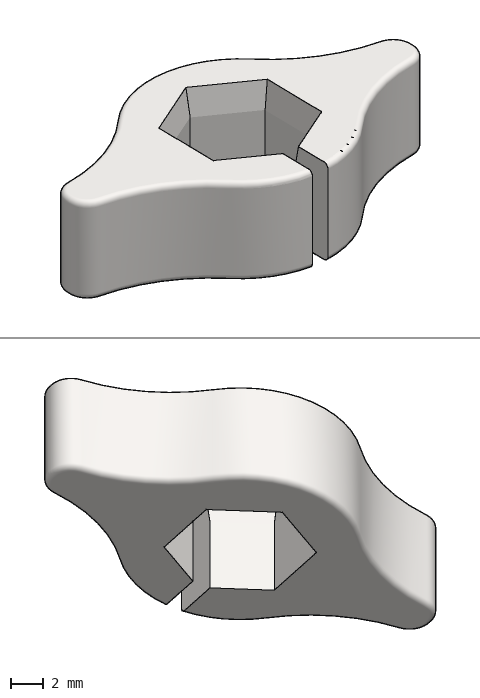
import cadquery as cq
import math

length = 28.0
height = 7.0
body_radius = 7.5
tip_radius = 1.5
tip_flat = 0.2
flank_radius = 12.0
edge_radius = 0.4
hex_flats = 8.1
mouth_flats = 8.8
taper_depth = 2.0
slot_width = 1.25

tip_x = tip_flat / 2
tip_y = length / 2 - tip_radius
tip_distance = math.hypot(tip_x, tip_y)
body_reach = body_radius + flank_radius
tip_reach = tip_radius + flank_radius
along = (body_reach**2 - tip_reach**2 + tip_distance**2) / (2 * tip_distance)
across = math.sqrt(body_reach**2 - along**2)
flank_x = (along * tip_x + across * tip_y) / tip_distance
flank_y = (along * tip_y - across * tip_x) / tip_distance

body_angle = math.atan2(flank_y, flank_x)
tip_angle = math.atan2(flank_y - tip_y, flank_x - tip_x)


def on_circle(x, y, radius, angle):
    return (x + radius * math.cos(angle), y + radius * math.sin(angle))


def quarter_plan():
    """Body, flank and wing tip outline in the +X +Y quadrant."""
    body_end = on_circle(0, 0, body_radius, body_angle)
    body_middle = on_circle(0, 0, body_radius, body_angle / 2)
    tip_start = on_circle(tip_x, tip_y, tip_radius, tip_angle)
    tip_middle = on_circle(tip_x, tip_y, tip_radius, (tip_angle + math.pi / 2) / 2)
    flank_angle = (body_angle + tip_angle) / 2 + math.pi
    flank_middle = on_circle(flank_x, flank_y, flank_radius, flank_angle)
    return (
        cq.Workplane("XY")
        .moveTo(0, 0)
        .lineTo(body_radius, 0)
        .threePointArc(body_middle, body_end)
        .threePointArc(flank_middle, tip_start)
        .threePointArc(tip_middle, (tip_x, length / 2))
        .lineTo(0, length / 2)
        .close()
        .extrude(height)
    )


def winged_body():
    quarter = quarter_plan()
    half = quarter.union(quarter.mirror("YZ"))
    body = half.union(half.mirror("XZ")).clean()
    return body.faces("<Z or >Z").edges().fillet(edge_radius)


def hexagon_bore():
    """Straight hexagonal bore that widens towards the top face."""
    hex_corners = hex_flats / math.cos(math.pi / 6)
    mouth_corners = mouth_flats / math.cos(math.pi / 6)
    straight = cq.Workplane("XY").polygon(6, hex_corners).extrude(height)
    mouth = (
        cq.Workplane("XY", origin=(0, 0, height - taper_depth))
        .polygon(6, hex_corners)
        .workplane(offset=taper_depth)
        .polygon(6, mouth_corners)
        .loft(ruled=True)
    )
    return straight.union(mouth)


def clamping_slot():
    """Slot from the bore out through the +X side."""
    return cq.Workplane("XY").box(body_radius, slot_width, height, centered=(False, True, False))


result = winged_body().cut(hexagon_bore()).cut(clamping_slot())